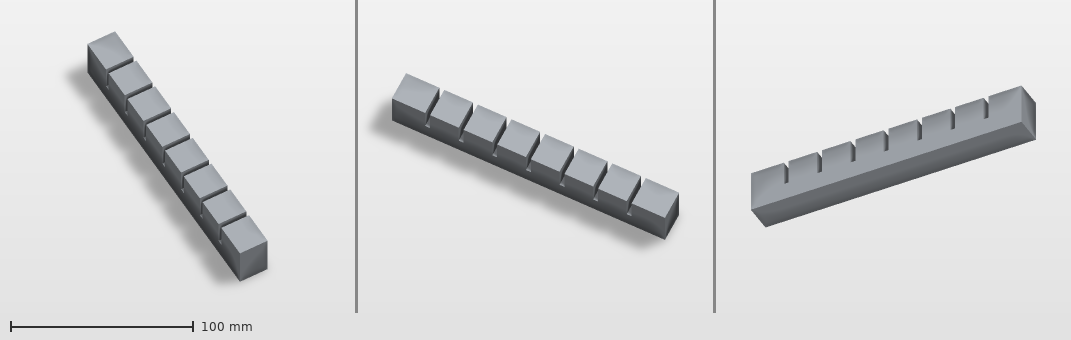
import cadquery as cq

length = 167.0
width = 17.5
height = 25.5

slot_count = 7
slot_pitch = 20.5
slot_width = 3.0
slot_depth = 15.0


def make_bar():
    """Plain rectangular bar resting on the XY plane."""
    return cq.Workplane("XY").box(length, width, height, centered=(True, True, False))


def make_slots():
    """Row of cutters that run across the full width of the bar."""
    return (
        cq.Workplane("XY")
        .workplane(offset=height - slot_depth)
        .rarray(slot_pitch, width, slot_count, 1)
        .rect(slot_width, width)
        .extrude(slot_depth)
    )


result = make_bar().cut(make_slots())